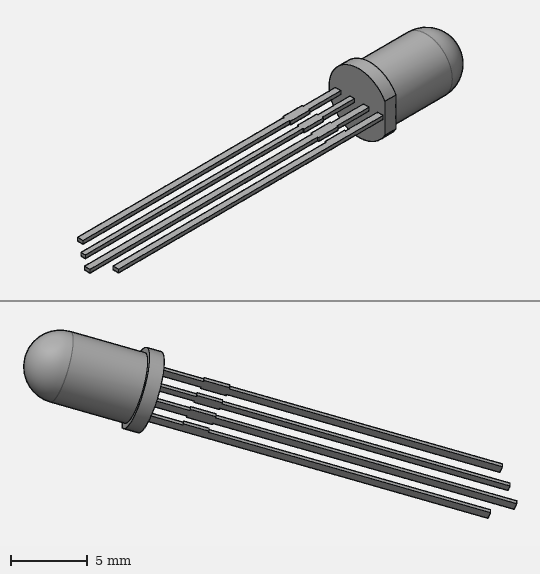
import cadquery as cq

lens_radius = 2.4
lens_length = 8.6
flange_radius = 2.753
flange_thickness = 1.03
flat_offset = lens_radius

lead_thickness = 0.3
lead_pitch = 1.3
first_lead_x = -1.9
standoff_start = 2.95
standoff_end = 4.72
standoff_shoulder = 0.1

leads = [
    (0.5, 23.65),
    (0.4, 24.7),
    (0.5, 25.6),
    (0.5, 24.28),
]


def make_lens():
    """Cylinder capped by a hemisphere, as one revolved half-profile."""
    dome_start = lens_length - lens_radius
    diagonal = lens_radius * 0.5**0.5
    return (
        cq.Workplane("XY")
        .lineTo(lens_radius, 0)
        .lineTo(lens_radius, dome_start)
        .threePointArc((diagonal, dome_start + diagonal), (0, lens_length))
        .close()
        .revolve(360, (0, 0, 0), (0, 1, 0))
    )


def make_flange():
    """Round rim, cut flat on its +X side."""
    half_chord = (flange_radius**2 - flat_offset**2) ** 0.5
    return (
        cq.Workplane("XZ")
        .moveTo(flat_offset, -half_chord)
        .lineTo(flat_offset, half_chord)
        .threePointArc((-flange_radius, 0), (flat_offset, -half_chord))
        .close()
        .extrude(-flange_thickness)
    )


def make_bar(center_x, width, start, end):
    """Flat bar running from one distance below the seat to another."""
    return (
        cq.Workplane("XZ", origin=(center_x, -start, 0))
        .rect(width, lead_thickness)
        .extrude(end - start)
    )


def make_lead(center_x, width, length, widened_sides):
    """Straight lead with a standoff section widened towards the given X directions."""
    lead = make_bar(center_x, width, 0, length)
    for side in widened_sides:
        shoulder_x = center_x + side * standoff_shoulder
        lead = lead.union(make_bar(shoulder_x, width, standoff_start, standoff_end))
    return lead


result = make_lens().union(make_flange())
for index, (width, length) in enumerate(leads):
    is_last = index == len(leads) - 1
    widened_sides = (-1,) if is_last else (-1, 1)
    center_x = first_lead_x + index * lead_pitch
    result = result.union(make_lead(center_x, width, length, widened_sides))